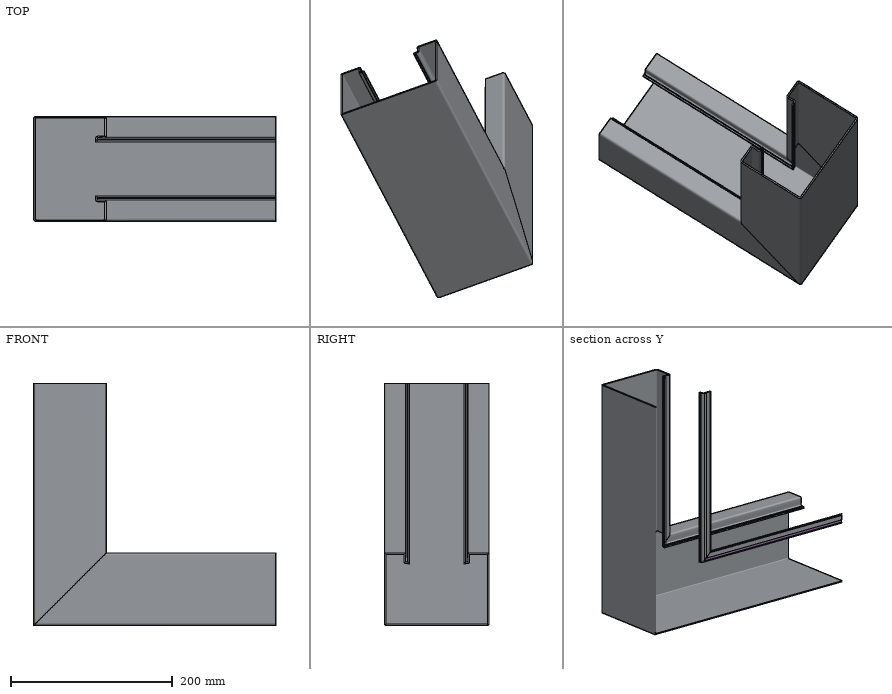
import cadquery as cq
import math


arm_length = 300.0
channel_width = 130.0
channel_depth = 90.0
sheet = 2.0
back_bend = 3.0
lip_bend = 2.25
face_width = 26.7
lip_depth = 13.2
straight_depth = 4.5
lean = 0.5
flange_reach = 4.8
flange_edge = 2.0
flange_drop = 0.45
step_run = 0.75

side = channel_width / 2
slot_wall = side - face_width
leaning_end = slot_wall + lean
flange_tip = slot_wall - flange_reach
flange_level = channel_depth - lip_depth
straight_level = channel_depth - straight_depth
step_end = flange_tip + flange_edge
step_start = step_end + step_run


def half_section():
    """Corners of the half section at positive width: (depth, width, bend radius)."""
    outside = [
        (0, side, back_bend),
        (channel_depth, side, back_bend),
        (channel_depth, slot_wall, lip_bend),
        (straight_level, slot_wall, 0),
        (flange_level + sheet, leaning_end, lip_bend - sheet / 2),
        (flange_level + sheet, step_start, 0),
        (flange_level + sheet - flange_drop, step_end, 0),
        (flange_level + sheet - flange_drop, flange_tip, 0),
    ]
    inside = [
        (flange_level - flange_drop, flange_tip, 0),
        (flange_level - flange_drop, step_end, 0),
        (flange_level, step_start, 0),
        (flange_level, leaning_end + sheet, back_bend),
        (straight_level, slot_wall + sheet, 0),
        (channel_depth - sheet, slot_wall + sheet, lip_bend - sheet),
        (channel_depth - sheet, side - sheet, back_bend - sheet),
        (sheet, side - sheet, back_bend - sheet),
    ]
    return outside + inside


def full_section():
    """Corners of the whole C-shaped section, with a lip on each side of the slot."""
    half = half_section()
    mirrored = [(depth, -width, radius) for depth, width, radius in reversed(half)]
    return half + mirrored


def toward(start, target, distance):
    """Point at the given distance from start along the line to target."""
    span = math.dist(start, target)
    return tuple(a + (b - a) * distance / span for a, b in zip(start, target))


def corner_angle(before, corner, after):
    """Angle in radians between the two edges that meet at a corner."""
    heading_before = math.atan2(before[1] - corner[1], before[0] - corner[0])
    heading_after = math.atan2(after[1] - corner[1], after[0] - corner[0])
    turn = abs(heading_before - heading_after)
    return min(turn, 2 * math.pi - turn)


def rounded_outline(corners):
    """Closed outline through the corners, each rounded by a tangent arc of its own radius."""
    points = [corner[:2] for corner in corners]
    first_middle = toward(points[0], points[-1], math.dist(points[0], points[-1]) / 2)
    outline = cq.Workplane("XY").moveTo(*first_middle)
    for index, (depth, width, radius) in enumerate(corners):
        corner = (depth, width)
        if radius == 0:
            outline = outline.lineTo(*corner)
            continue
        before = points[index - 1]
        after = points[(index + 1) % len(points)]
        trim = radius / math.tan(corner_angle(before, corner, after) / 2)
        outline = outline.lineTo(*toward(corner, before, trim))
        outline = outline.tangentArcPoint(toward(corner, after, trim), relative=False)
    return outline.close()


def mitre_wedge():
    """Triangular prism filling the upright arm's side of the plane Z = X."""
    corners = [(0, 0), (arm_length, arm_length), (0, arm_length)]
    return cq.Workplane("XZ").polyline(corners).close().extrude(side, both=True)


def make_upright_arm():
    """Arm along Z, its slotted face toward +X, cut at 45 degrees at the foot."""
    channel = rounded_outline(full_section()).extrude(arm_length)
    return channel.intersect(mitre_wedge())


def make_level_arm(upright):
    """Arm along X: the upright arm reflected in the mitre plane."""
    turned = upright.rotate((0, 0, 0), (0, 1, 0), 90)
    return turned.mirror("XY")


upright_arm = make_upright_arm()
level_arm = make_level_arm(upright_arm)

result = cq.Compound.makeCompound([upright_arm.val(), level_arm.val()])